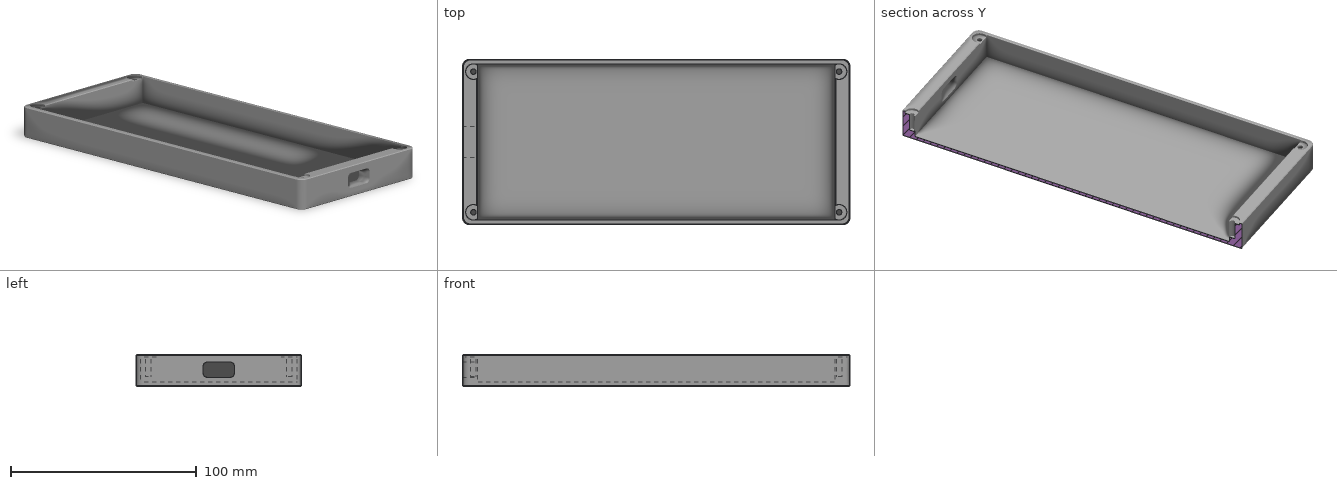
import cadquery as cq

length = 208.5
width = 89.0
height = 17.0
corner_radius = 4.0
edge_chamfer = 0.5

side_wall = 2.5
end_wall = 8.0
floor_thickness = 2.3

screw_inset_x = 5.8
screw_inset_y = 6.7
seat_radius = 4.2
seat_depth = 1.3
screw_hole_diameter = 3.0
screw_hole_depth = 10.5

slot_width = 16.9
slot_height = 8.3
slot_corner_radius = 2.5
slot_center_z = 9.0


def make_body():
    """Solid block with rounded corners and lightly broken outer rims."""
    block = cq.Workplane("XY").box(length, width, height, centered=(True, True, False))
    return block.edges("|Z").fillet(corner_radius).faces("<Z or >Z").edges().chamfer(edge_chamfer)


def make_cavity():
    """Open-topped rectangular pocket above the floor."""
    return (
        cq.Workplane("XY")
        .workplane(offset=floor_thickness)
        .rect(length - 2 * end_wall, width - 2 * side_wall)
        .extrude(height - floor_thickness)
    )


def make_screw_cuts():
    """Four shallow round seats, each with a blind screw hole in its base."""
    seat_z = height - seat_depth
    spacing_x = length - 2 * screw_inset_x
    spacing_y = width - 2 * screw_inset_y
    grid = cq.Workplane("XY").workplane(offset=seat_z).rarray(spacing_x, spacing_y, 2, 2)
    seats = grid.circle(seat_radius).extrude(seat_depth)
    holes = grid.circle(screw_hole_diameter / 2).extrude(-screw_hole_depth)
    return seats.union(holes)


def make_cable_slot():
    """Rounded rectangular opening through the -X end wall only."""
    slot = cq.Workplane("XY").box(end_wall, slot_width, slot_height)
    slot = slot.edges("|X").fillet(slot_corner_radius)
    return slot.translate((-(length - end_wall) / 2, 0, slot_center_z))


tray = make_body().cut(make_cavity())
inner_end_x = length / 2 - end_wall
for end_x in (-inner_end_x, inner_end_x):
    rim_point = (end_x, 0, height)
    tray = tray.edges(cq.selectors.NearestToPointSelector(rim_point)).chamfer(edge_chamfer)

result = tray.cut(make_screw_cuts()).cut(make_cable_slot())